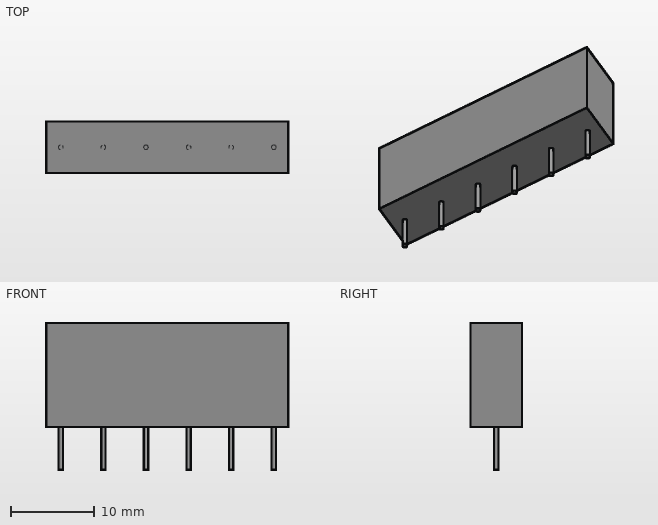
import cadquery as cq

housing_length = 29.0
housing_width = 6.2
housing_height = 12.5

pin_count = 6
pin_diameter = 0.55
pin_length = 5.1
pin_pitch = 5.1
pin_row_length = (pin_count - 1) * pin_pitch


def make_housing():
    """Plain block whose underside lies on Z = 0."""
    return cq.Workplane("XY").box(
        housing_length, housing_width, housing_height, centered=(True, True, False)
    )


def make_pin(x):
    """Straight round pin hanging from the housing underside at the given X."""
    return cq.Workplane("XY").center(x, 0).circle(pin_diameter / 2).extrude(-pin_length)


housing = make_housing()
pins = [make_pin(i * pin_pitch - pin_row_length / 2) for i in range(pin_count)]

result = cq.Compound.makeCompound([housing.val(), *[pin.val() for pin in pins]])